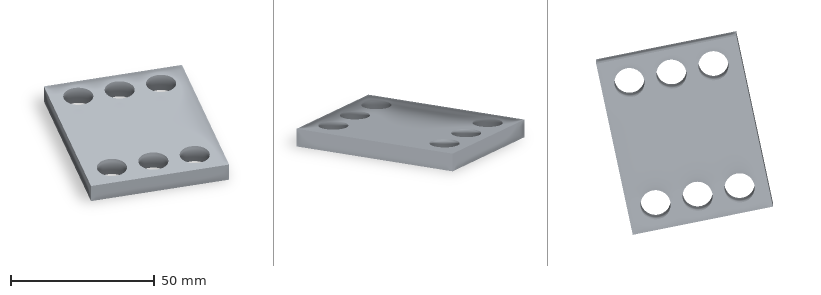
import cadquery as cq

length = 63.0
width = 50.0
thickness = 6.4

hole_diameter = 10.5
column_count = 2
row_count = 3
column_spacing = 45.0
row_spacing = 15.0

plate = cq.Workplane("XY").box(length, width, thickness)

result = (
    plate.faces(">Z")
    .workplane()
    .rarray(column_spacing, row_spacing, column_count, row_count)
    .hole(hole_diameter)
)